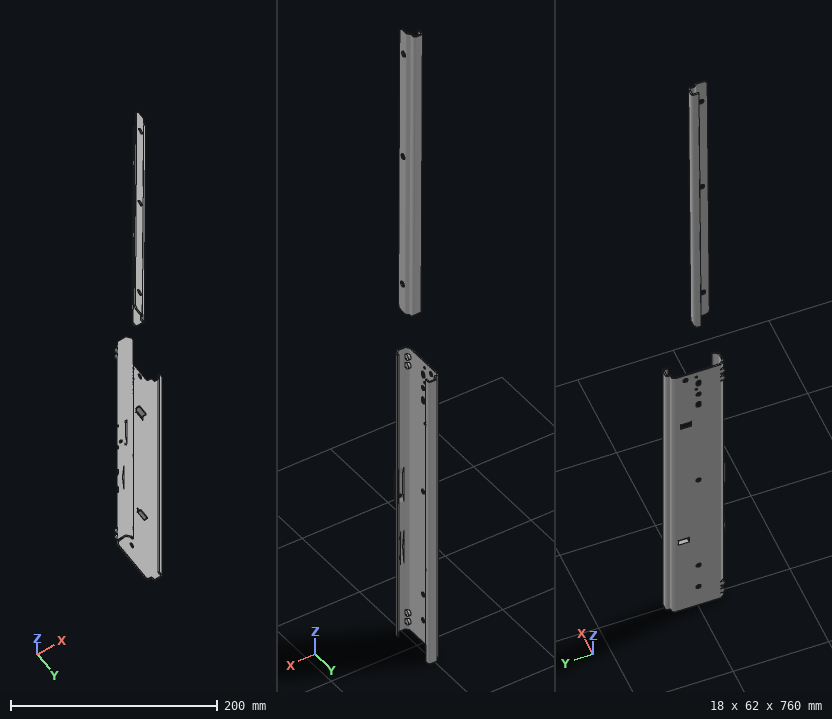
import cadquery as cq
import math

SHEET = 1.5
TOTAL_HEIGHT = 760.0
RAIL_LENGTH = 349.5
BEND_RADIUS = 1.0
OVERCUT = 4.0

RAIL_WIDTH = 62.0
WEB_Y = 2.0
BEND_Y = 7.0
SLOPE_LEFT_X = 4.0
SLOPE_RIGHT_X = 14.0
LIP_X = 17.5
LIP_END_Y = 10.0
SHOULDER_Y = 58.0
SHOULDER_BEND = 3.0
HOOK_LEFT_X = 5.0
HOOK_RIGHT_X = 16.0
HOOK_END_Y = 56.0

HOLE_ROW_Y = 30.5
HOLE_DIAMETER = 5.2
SLOT_LENGTH = 7.5
ROUND_HOLES = [(HOLE_ROW_Y, z) for z in (27.0, 59.0, 187.0, 315.5)] + [(44.0, 342.0)]
SLOT_HOLES_Z = (300.0, 332.0)
PIN_HOLE_DIAMETER = 2.0
PIN_HOLES = [(33.0, 324.0), (33.0, 342.0)]

TAB_REACH = 5.0
WINDOW_WIDTH = 11.5
WINDOW_HEIGHT = 7.5
UPPER_WINDOW = (43.0, 275.0)
LOWER_WINDOW = (45.5, 101.0)

BOSS_DIAMETER = 7.0
BOSS_Y = 6.0
BOSS_LENGTH = 4.5
BOSS_END_OFFSETS = (11.0, 21.0)

PAD_LEFT_X = 4.5
LONG_PAD = ((159.5, 168.0, 193.0, 201.5), 15.0)
RIDGE_PAD = ((83.0, 101.0, 101.0, 123.0), 11.5)
PAD_HOLE_X = 9.0
PAD_HOLE_Z = 166.5
PAD_HOLE_DIAMETER = 3.0

UPPER_LEAN = 0.38
UPPER_TOP_Y = 36.0
UPPER_LEFT_X = 4.5
FLANGE_LENGTH = 7.5
LEG_LENGTH = 21.0
LEG_UPPER_X = 15.0
LEG_LOWER_X = 18.0
JOG_START = 6.0
JOG_END = 9.0
LEG_HOLE_DEPTH = 14.5
LEG_HOLES_FROM_TOP = (29.0, 156.5, 315.5)
LEG_HOLE_DIAMETER = 6.0
END_CHAMFER = 3.0


def round_upright_edge(sheet, point, length, radius):
    """Fillet the edge along Z that stands on point."""
    middle = (point[0], point[1], length / 2)
    return sheet.edges(cq.NearestToPointSelector(middle)).fillet(radius)


def bent_sheet(path, length):
    """Extrude a sheet along Z whose outer face follows path; the sheet lies to the left of it."""
    normals = []
    for (x0, y0), (x1, y1) in zip(path, path[1:]):
        run = math.hypot(x1 - x0, y1 - y0)
        normals.append(((y0 - y1) / run, (x1 - x0) / run))
    inner = []
    for i, (x, y) in enumerate(path):
        before = normals[max(i - 1, 0)]
        after = normals[min(i, len(normals) - 1)]
        mitre = SHEET / (1 + before[0] * after[0] + before[1] * after[1])
        inner.append((x + mitre * (before[0] + after[0]), y + mitre * (before[1] + after[1])))
    sheet = cq.Workplane("XY").polyline(path + inner[::-1]).close().extrude(length)
    for i in range(1, len(path) - 1):
        before, after = normals[i - 1], normals[i]
        turns_left = before[0] * after[1] - before[1] * after[0] > 0
        outside, inside = (path[i], inner[i]) if turns_left else (inner[i], path[i])
        sheet = round_upright_edge(sheet, outside, length, BEND_RADIUS + SHEET)
        sheet = round_upright_edge(sheet, inside, length, BEND_RADIUS)
    return sheet


def plate_tool(centres):
    """Sketch plane across the plate, reaching through it when extruded by the sheet and overcuts."""
    return cq.Workplane("YZ", origin=(-OVERCUT, 0, 0)).pushPoints(centres)


def cut_plate_holes(rail):
    depth = SHEET + 2 * OVERCUT
    rail = rail.cut(plate_tool(ROUND_HOLES).circle(HOLE_DIAMETER / 2).extrude(depth))
    rail = rail.cut(plate_tool(PIN_HOLES).circle(PIN_HOLE_DIAMETER / 2).extrude(depth))
    slots = [(HOLE_ROW_Y, z) for z in SLOT_HOLES_Z]
    return rail.cut(plate_tool(slots).slot2D(SLOT_LENGTH, HOLE_DIAMETER, 90).extrude(depth))


def add_window_tab(rail, window, side):
    """Cut a window and stand a tab along its upper (side = 1) or lower (side = -1) edge."""
    y, z = window
    opening = plate_tool([window]).rect(WINDOW_WIDTH, WINDOW_HEIGHT).extrude(SHEET + OVERCUT)
    tab_z = z + side * (WINDOW_HEIGHT - SHEET) / 2
    tab = cq.Workplane("YZ").center(y, tab_z).rect(WINDOW_WIDTH, SHEET).extrude(TAB_REACH)
    return rail.cut(opening).union(tab)


def pad_prism(heights, left, right, inset):
    """Prism that ramps up from the web to a crest and back, moved inward along Y by inset."""
    start, crest_start, crest_end, end = heights
    outline = [(WEB_Y + inset, start), (inset, crest_start)]
    if crest_end > crest_start:
        outline.append((inset, crest_end))
    outline.append((WEB_Y + inset, end))
    return cq.Workplane("YZ", origin=(left, 0, 0)).polyline(outline).close().extrude(right - left)


def add_pad(rail, pad):
    """Press a hollow pad outward from the channel web."""
    heights, right = pad
    outside = pad_prism(heights, PAD_LEFT_X, right, 0)
    hollow = pad_prism(heights, PAD_LEFT_X + SHEET, right - SHEET, SHEET)
    return rail.union(outside).cut(hollow)


def add_corner_bosses(rail):
    for offset in BOSS_END_OFFSETS:
        for z in (offset, RAIL_LENGTH - offset):
            boss = cq.Workplane("YZ").center(BOSS_Y, z).circle(BOSS_DIAMETER / 2).extrude(BOSS_LENGTH)
            rail = rail.union(boss)
    return rail


def make_lower_rail():
    path = [
        (HOOK_RIGHT_X, HOOK_END_Y),
        (HOOK_RIGHT_X, RAIL_WIDTH),
        (HOOK_LEFT_X, RAIL_WIDTH),
        (HOOK_LEFT_X, SHOULDER_Y),
        (SHOULDER_BEND / 2, SHOULDER_Y),
        (0, SHOULDER_Y - SHOULDER_BEND),
        (0, BEND_Y),
        (SLOPE_LEFT_X, WEB_Y),
        (SLOPE_RIGHT_X, WEB_Y),
        (LIP_X, BEND_Y),
        (LIP_X, LIP_END_Y),
    ]
    rail = cut_plate_holes(bent_sheet(path, RAIL_LENGTH))
    rail = add_window_tab(rail, UPPER_WINDOW, 1)
    rail = add_window_tab(rail, LOWER_WINDOW, -1)
    rail = add_corner_bosses(rail)
    rail = add_pad(rail, LONG_PAD)
    rail = add_pad(rail, RIDGE_PAD)
    pad_hole = (
        cq.Workplane("XZ", origin=(PAD_HOLE_X, WEB_Y + SHEET, PAD_HOLE_Z))
        .circle(PAD_HOLE_DIAMETER / 2)
        .extrude(WEB_Y + SHEET + OVERCUT)
    )
    return rail.cut(pad_hole)


def make_upper_rail():
    """Build the rail hanging below the origin, with its web at Y = 0, then lean and place it."""
    path = [
        (LEG_LOWER_X, -LEG_LENGTH),
        (LEG_LOWER_X, -JOG_END),
        (LEG_UPPER_X, -JOG_START),
        (LEG_UPPER_X, 0),
        (UPPER_LEFT_X, 0),
        (UPPER_LEFT_X, -FLANGE_LENGTH),
    ]
    rail = bent_sheet(path, RAIL_LENGTH).translate((0, 0, -RAIL_LENGTH))
    rail = rail.edges("|X and <Y").chamfer(END_CHAMFER)
    web_corner = [(0, -RAIL_LENGTH), (0, END_CHAMFER - RAIL_LENGTH), (-END_CHAMFER, -RAIL_LENGTH)]
    rail = rail.cut(cq.Workplane("YZ").polyline(web_corner).close().extrude(LEG_LOWER_X))
    for depth in LEG_HOLES_FROM_TOP:
        hole = (
            cq.Workplane("YZ", origin=(LEG_UPPER_X, -LEG_HOLE_DEPTH, -depth))
            .circle(LEG_HOLE_DIAMETER / 2)
            .extrude(LEG_LOWER_X - LEG_UPPER_X + OVERCUT)
        )
        rail = rail.cut(hole)
    rail = rail.rotate((0, 0, 0), (1, 0, 0), -UPPER_LEAN)
    lift = (LEG_LENGTH - END_CHAMFER) * math.sin(math.radians(UPPER_LEAN))
    return rail.translate((0, UPPER_TOP_Y, TOTAL_HEIGHT - lift))


lower_rail = make_lower_rail()
upper_rail = make_upper_rail()
result = cq.Compound.makeCompound([lower_rail.val(), upper_rail.val()])